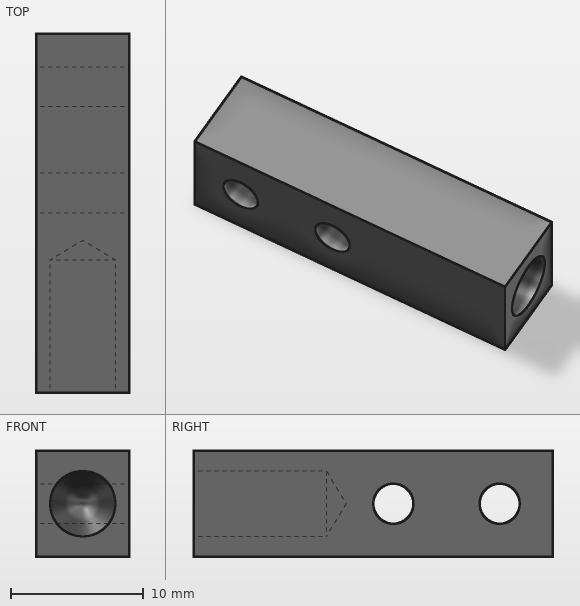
import cadquery as cq
import math

width = 7.0
length = 27.0
height = 8.0

bore_diameter = 4.91
bore_depth = 10.0
drill_point_angle = 118.0

cross_hole_diameter = 3.0
first_hole_from_back = 4.0
cross_hole_pitch = 8.0
cross_hole_count = 2


def make_block():
    return cq.Workplane("XY").box(width, length, height, centered=(True, False, True))


def make_bore():
    radius = bore_diameter / 2
    tip_length = radius / math.tan(math.radians(drill_point_angle / 2))
    half_profile = (
        cq.Workplane("XY")
        .lineTo(radius, 0)
        .lineTo(radius, bore_depth)
        .lineTo(0, bore_depth + tip_length)
        .close()
    )
    return half_profile.revolve(360, (0, 0), (0, 1))


def make_cross_holes():
    first_y = length - first_hole_from_back
    centres = [(first_y - i * cross_hole_pitch, 0) for i in range(cross_hole_count)]
    return (
        cq.Workplane("YZ")
        .pushPoints(centres)
        .circle(cross_hole_diameter / 2)
        .extrude(width, both=True)
    )


result = make_block().cut(make_bore()).cut(make_cross_holes())